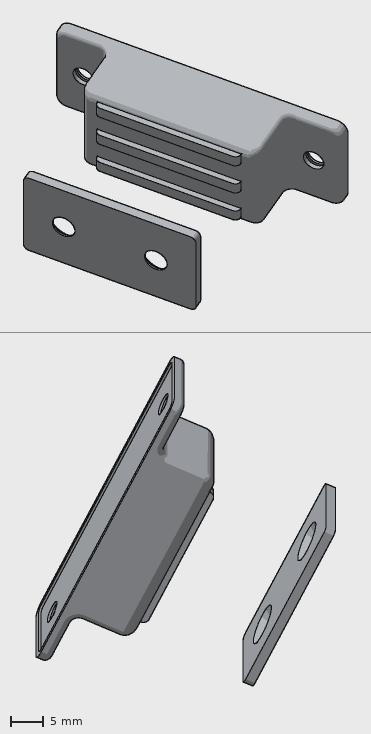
import cadquery as cq
import math

flange_length = 50.0
height = 17.0
flange_thickness = 2.0
flange_corner_radius = 2.0
block_length = 31.0
block_depth = 12.0
block_front_radius = 2.0
root_radius = 1.5
edge_radius = 1.0

mount_hole_diameter = 3.5
mount_hole_spacing = 40.0

recess_margin = 1.0
recess_length = flange_length - 2 * recess_margin
recess_height = height - 2 * recess_margin
recess_corner_radius = flange_corner_radius - recess_margin
recess_depth = 1.2
cover_inset = 0.4
cover_thickness = 0.4

rail_count = 3
rail_pitch = 6.0
rail_length = 25.0
rail_height = 2.0
rail_protrusion = 1.0
rail_embedment = 1.0
rail_depth = rail_embedment + rail_protrusion
rail_end_radius = 1.0

strike_length = 30.0
strike_height = 16.0
strike_thickness = 1.6
strike_corner_radius = 1.0
overall_depth = 32.35
strike_back = overall_depth - strike_thickness
strike_hole_diameter = 3.9
strike_hole_spacing = 16.0
countersink_depth = 1.3
countersink_angle = 90.0


def slab(length, slab_height, thickness, corner_radius, back):
    """Upright plate with rounded corners; its back face lies at y = -back."""
    plate = cq.Workplane("XZ", origin=(0, -back, 0)).rect(length, slab_height).extrude(thickness)
    return plate.edges("|Y").fillet(corner_radius)


def hole_pair(diameter, spacing, back, depth, taper=0):
    """Two cutters along y, symmetric about x = 0, that start at y = -back and may narrow forward."""
    centres = [(-spacing / 2, 0), (spacing / 2, 0)]
    circles = cq.Workplane("XZ", origin=(0, -back, 0)).pushPoints(centres).circle(diameter / 2)
    return circles.extrude(depth, taper=taper)


def make_rail(z):
    """Bar along x whose two front corners are rounded."""
    centre_y = -(block_depth - rail_embedment + rail_depth / 2)
    bar = cq.Workplane("XY").box(rail_length, rail_depth, rail_height)
    return bar.edges("|Z and <Y").fillet(rail_end_radius).translate((0, centre_y, z))


def make_cover():
    cover = slab(recess_length, recess_height, cover_thickness, recess_corner_radius, cover_inset)
    return cover.cut(hole_pair(mount_hole_diameter, mount_hole_spacing, cover_inset, cover_thickness))


def make_strike_plate():
    """Plate with two holes, countersunk on the side that faces the housing."""
    plate = slab(strike_length, strike_height, strike_thickness, strike_corner_radius, strike_back)
    plate = plate.cut(
        hole_pair(strike_hole_diameter, strike_hole_spacing, strike_back, strike_thickness)
    )
    half_angle = countersink_angle / 2
    sink_diameter = strike_hole_diameter + 2 * countersink_depth * math.tan(math.radians(half_angle))
    return plate.cut(
        hole_pair(sink_diameter, strike_hole_spacing, strike_back, countersink_depth, half_angle)
    )


def make_housing_body():
    """Solid flange and block with all their rounded edges."""
    flange = slab(flange_length, height, flange_thickness, flange_corner_radius, 0)
    block = cq.Workplane("XZ").rect(block_length, height).extrude(block_depth)
    body = flange.union(block)

    for side in (-1, 1):
        corner = (side * block_length / 2, -flange_thickness, 0)
        body = body.edges(cq.selectors.NearestToPointSelector(corner)).fillet(root_radius)

    body = body.edges("|Z and (<X or >X)").edges("<Y").fillet(edge_radius)
    return body.faces("<Y").edges().fillet(block_front_radius)


def make_housing(rails):
    """Housing with the cover recess, the mounting holes and a slot for each rail."""
    housing = make_housing_body()
    housing = housing.cut(slab(recess_length, recess_height, recess_depth, recess_corner_radius, 0))
    housing = housing.cut(hole_pair(mount_hole_diameter, mount_hole_spacing, 0, flange_thickness))
    for rail in rails:
        housing = housing.cut(rail)
    return housing


rails = [make_rail((i - (rail_count - 1) / 2) * rail_pitch) for i in range(rail_count)]
housing = make_housing(rails)
cover = make_cover()
strike_plate = make_strike_plate()

result = cq.Compound.makeCompound(
    [housing.val(), cover.val(), strike_plate.val(), *[rail.val() for rail in rails]]
)